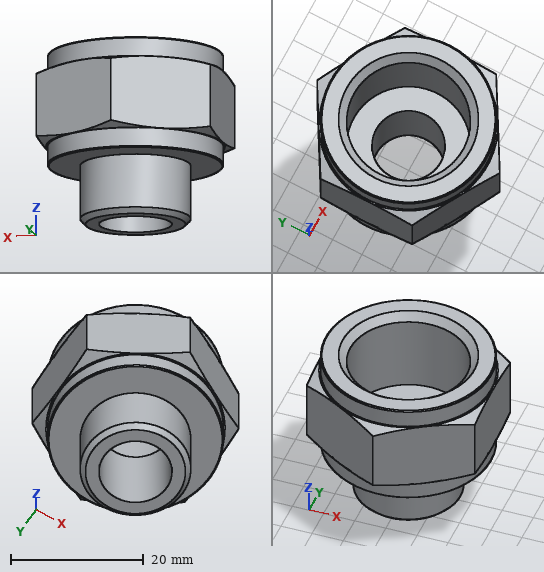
import cadquery as cq
import math

stem_length = 8.98
collar_height = 3.0
hex_height = 11.05
total_height = stem_length + 2 * collar_height + hex_height

hex_across_corners = 31.18
hex_across_flats = hex_across_corners * math.cos(math.pi / 6)
hex_chamfer_height = 0.75
collar_diameter = 26.5
collar_chamfer = 0.2
stem_diameter = 16.68
stem_chamfer = 0.8

bore_diameter = 18.65
bore_depth = 13.47
bore_chamfer = 1.22
through_diameter = 11.0


def make_hex():
    """Hexagon with two corners on Y, its corners trimmed by a cone at each end."""
    prism = (
        cq.Workplane("XY")
        .polygon(6, hex_across_corners)
        .extrude(hex_height)
        .rotate((0, 0, 0), (0, 0, 1), 90)
    )
    flat_radius = hex_across_flats / 2
    corner_radius = hex_across_corners / 2
    envelope = (
        cq.Workplane("XZ")
        .moveTo(0, 0)
        .lineTo(flat_radius, 0)
        .lineTo(corner_radius, hex_chamfer_height)
        .lineTo(corner_radius, hex_height - hex_chamfer_height)
        .lineTo(flat_radius, hex_height)
        .lineTo(0, hex_height)
        .close()
        .revolve(360, (0, 0, 0), (0, 1, 0))
    )
    return prism.intersect(envelope).translate((0, 0, stem_length + collar_height))


def make_collars():
    """Round body that stands out above and below the hexagon."""
    return (
        cq.Workplane("XY", origin=(0, 0, stem_length))
        .circle(collar_diameter / 2)
        .extrude(total_height - stem_length)
        .edges("%CIRCLE")
        .chamfer(collar_chamfer)
    )


def make_stem():
    """Plain spigot with a chamfered tip."""
    return (
        cq.Workplane("XY")
        .circle(stem_diameter / 2)
        .extrude(stem_length)
        .faces("<Z")
        .chamfer(stem_chamfer)
    )


def cut_bores(body):
    """Chamfered blind bore from the top and a smaller hole right through."""
    bored = (
        body.faces(">Z")
        .workplane(origin=(0, 0, total_height))
        .cboreHole(through_diameter, bore_diameter, bore_depth)
    )
    rim = cq.selectors.RadiusNthSelector(0)
    return bored.faces(">Z").edges(rim).chamfer(bore_chamfer)


result = cut_bores(make_collars().union(make_hex()).union(make_stem()))